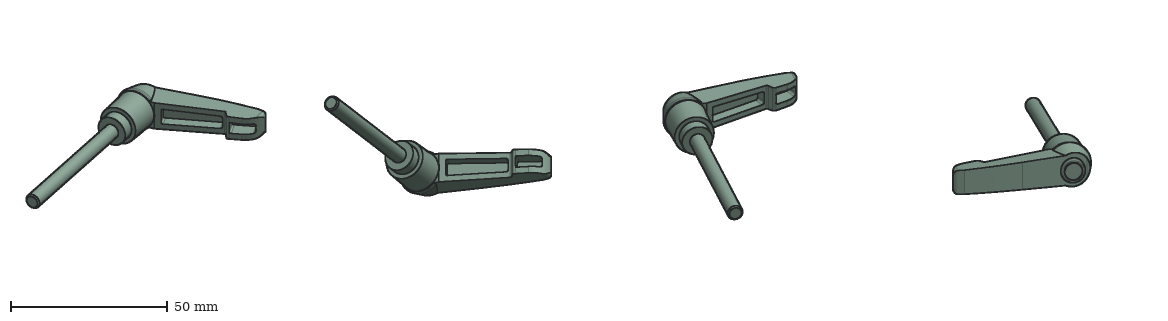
import cadquery as cq
import math


STUD_DIAMETER = 5.0
STUD_LENGTH = 50.0
STUD_TIP_CHAMFER = 0.5
COLLAR_DIAMETER = 10.0
COLLAR_HEIGHT = 4.0

SLEEVE_BOTTOM_RADIUS = 6.5
SLEEVE_TOP_RADIUS = 6.8
SLEEVE_TOP_Y = 15.0
RIM_RADIUS = 7.25
RIM_BOTTOM_RADIUS = 7.0
RIM_LOWER_Y = 15.7
RIM_UPPER_Y = 16.4
CONE_BASE_RADIUS = 7.2
CONE_SLOPE = 0.245
HUB_BACK_Y = 21.5
HUB_BACK_X = -4.75

BUTTON_DIAMETER = 8.0
BUTTON_SHOULDER_Y = 24.2
BUTTON_EDGE_FILLET = 0.45
BUTTON_CAP_DIAMETER = 5.8
BUTTON_CAP_HEIGHT = 0.5

TIP_X = 40.0
TOP_Y = 30.0
TOP_SLOPE = 0.232
TOP_LINE_END_X = 17.0
TOP_ARC_END_X = 36.6
TIP_TOP_Y = 29.75
TIP_TOP_FILLET = 0.7
TIP_EDGE_Y = 28.4
UNDERSIDE_ANGLE = 20.1
ROOT_X = 6.9
NOTCH_X = 28.8
NOTCH_FILLET = 0.6
NOSE_X = 30.48
NOSE_Y = 20.6
NOSE_FILLET = 1.0
NOSE_LINE_END_X = 35.15

AXIS_HALF_WIDTH = 5.1
TIP_HALF_WIDTH = 3.95
TIP_CORNER_RADIUS = 1.5

LONG_POCKET_START_X = 9.0
LONG_POCKET_END_X = 27.85
LONG_POCKET_START_HALF_WIDTH = 2.8
LONG_POCKET_END_HALF_WIDTH = 2.3
LONG_POCKET_DEPTH = 3.8
SHORT_POCKET_START_X = 31.3
SHORT_POCKET_END_X = 39.25
SHORT_POCKET_START_HALF_WIDTH = 2.0
SHORT_POCKET_END_HALF_WIDTH = 1.8
SHORT_POCKET_DEPTH = 5.35
POCKET_ROOT_CORNER_RADIUS = 0.6
POCKET_TIP_CORNER_RADIUS = 0.9

CLEARANCE = 20.0

TILT = math.radians(UNDERSIDE_ANGLE)
UNDERSIDE_SLOPE = math.tan(TILT)


def top_line_y(x):
    """Height of the straight sloping top shared by the hub and the arm."""
    return HUB_BACK_Y + TOP_SLOPE * (x - HUB_BACK_X)


def make_stud():
    shaft = cq.Workplane("XZ").circle(STUD_DIAMETER / 2).extrude(STUD_LENGTH)
    return shaft.faces("<Y").chamfer(STUD_TIP_CHAMFER)


def make_hub():
    collar_radius = COLLAR_DIAMETER / 2
    rim_middle_y = (RIM_LOWER_Y + RIM_UPPER_Y) / 2
    cone_top_radius = CONE_BASE_RADIUS - CONE_SLOPE * (TOP_Y - RIM_UPPER_Y)
    body = (
        cq.Workplane("XY")
        .lineTo(collar_radius, 0)
        .lineTo(collar_radius, COLLAR_HEIGHT)
        .lineTo(SLEEVE_BOTTOM_RADIUS, COLLAR_HEIGHT)
        .lineTo(SLEEVE_TOP_RADIUS, SLEEVE_TOP_Y)
        .lineTo(RIM_BOTTOM_RADIUS, SLEEVE_TOP_Y)
        .lineTo(CONE_BASE_RADIUS, RIM_LOWER_Y)
        .threePointArc((RIM_RADIUS, rim_middle_y), (CONE_BASE_RADIUS, RIM_UPPER_Y))
        .lineTo(cone_top_radius, TOP_Y)
        .lineTo(0, TOP_Y)
        .close()
        .revolve(360, (0, 0, 0), (0, 1, 0))
    )
    above_top = (
        cq.Workplane("XY")
        .moveTo(-CLEARANCE, HUB_BACK_Y)
        .lineTo(HUB_BACK_X, HUB_BACK_Y)
        .lineTo(CLEARANCE, top_line_y(CLEARANCE))
        .lineTo(CLEARANCE, TOP_Y + CLEARANCE)
        .lineTo(-CLEARANCE, TOP_Y + CLEARANCE)
        .close()
        .extrude(CLEARANCE, both=True)
    )
    return body.cut(above_top)


def make_button():
    button = cq.Workplane("XZ").circle(BUTTON_DIAMETER / 2).extrude(-BUTTON_SHOULDER_Y)
    button = button.faces(">Y").edges().fillet(BUTTON_EDGE_FILLET)
    cap = (
        cq.Workplane("XZ", origin=(0, BUTTON_SHOULDER_Y, 0))
        .circle(BUTTON_CAP_DIAMETER / 2)
        .extrude(-BUTTON_CAP_HEIGHT)
    )
    return button.union(cap)


def fillet_edge_at(body, x, y, radius):
    """Round the single edge parallel to Z that passes through (x, y)."""
    return body.edges(cq.selectors.NearestToPointSelector((x, y, 0))).fillet(radius)


def top_arc_middle():
    """Middle of the arc that leaves the straight top tangentially and ends at the highest point."""
    start_x = TOP_LINE_END_X
    start_y = top_line_y(start_x)
    run = TOP_ARC_END_X - start_x
    rise = TOP_Y - start_y
    half_turn = math.atan(TOP_SLOPE) - math.atan2(rise, run)
    bulge = math.tan(half_turn / 2) / 2
    return (start_x + run / 2 - bulge * rise, start_y + rise / 2 + bulge * run)


def make_arm_side():
    """Side outline of the arm, thicker than the finished arm."""
    notch_y = SLEEVE_TOP_Y + UNDERSIDE_SLOPE * (NOTCH_X - ROOT_X)
    nose_line_end_y = NOSE_Y + UNDERSIDE_SLOPE * (NOSE_LINE_END_X - NOSE_X)
    side = (
        cq.Workplane("XY")
        .moveTo(TIP_X, TIP_TOP_Y)
        .lineTo(TOP_ARC_END_X, TOP_Y)
        .threePointArc(top_arc_middle(), (TOP_LINE_END_X, top_line_y(TOP_LINE_END_X)))
        .lineTo(0, top_line_y(0))
        .lineTo(0, SLEEVE_TOP_Y)
        .lineTo(ROOT_X, SLEEVE_TOP_Y)
        .lineTo(NOTCH_X, notch_y)
        .lineTo(NOSE_X, NOSE_Y)
        .lineTo(NOSE_LINE_END_X, nose_line_end_y)
        .tangentArcPoint((TIP_X, TIP_EDGE_Y), relative=False)
        .close()
        .extrude(CLEARANCE, both=True)
    )
    side = fillet_edge_at(side, NOTCH_X, notch_y, NOTCH_FILLET)
    side = fillet_edge_at(side, NOSE_X, NOSE_Y, NOSE_FILLET)
    return fillet_edge_at(side, TIP_X, TIP_TOP_Y, TIP_TOP_FILLET)


def make_arm_plan():
    """Tapering width of the arm with rounded tip corners."""
    plan = (
        cq.Workplane("XZ")
        .moveTo(0, -AXIS_HALF_WIDTH)
        .lineTo(TIP_X, -TIP_HALF_WIDTH)
        .lineTo(TIP_X, TIP_HALF_WIDTH)
        .lineTo(0, AXIS_HALF_WIDTH)
        .close()
        .extrude(-(TOP_Y + CLEARANCE))
    )
    return plan.edges("|Y and >X").fillet(TIP_CORNER_RADIUS)


def make_pocket(face_x, face_y, start_x, end_x, start_half_width, end_half_width, depth):
    """Tapered pocket sunk square to the sloping face that passes through (face_x, face_y)."""
    start = (start_x - face_x) / math.cos(TILT)
    end = (end_x - face_x) / math.cos(TILT)
    face = cq.Plane(
        origin=(face_x, face_y, 0),
        xDir=(math.cos(TILT), math.sin(TILT), 0),
        normal=(-math.sin(TILT), math.cos(TILT), 0),
    )
    pocket = (
        cq.Workplane(face)
        .moveTo(start, -start_half_width)
        .lineTo(end, -end_half_width)
        .lineTo(end, end_half_width)
        .lineTo(start, start_half_width)
        .close()
        .extrude(depth)
    )
    across = cq.selectors.ParallelDirSelector(face.zDir)
    root_end = cq.selectors.DirectionMinMaxSelector(face.xDir, directionMax=False)
    tip_end = cq.selectors.DirectionMinMaxSelector(face.xDir)
    pocket = pocket.faces(root_end).edges(across).fillet(POCKET_ROOT_CORNER_RADIUS)
    return pocket.faces(tip_end).edges(across).fillet(POCKET_TIP_CORNER_RADIUS)


def make_arm():
    long_pocket = make_pocket(
        ROOT_X,
        SLEEVE_TOP_Y,
        LONG_POCKET_START_X,
        LONG_POCKET_END_X,
        LONG_POCKET_START_HALF_WIDTH,
        LONG_POCKET_END_HALF_WIDTH,
        LONG_POCKET_DEPTH,
    )
    short_pocket = make_pocket(
        NOSE_X,
        NOSE_Y,
        SHORT_POCKET_START_X,
        SHORT_POCKET_END_X,
        SHORT_POCKET_START_HALF_WIDTH,
        SHORT_POCKET_END_HALF_WIDTH,
        SHORT_POCKET_DEPTH,
    )
    arm = make_arm_side().intersect(make_arm_plan())
    return arm.cut(long_pocket).cut(short_pocket)


result = make_hub().union(make_arm()).union(make_button()).union(make_stud())